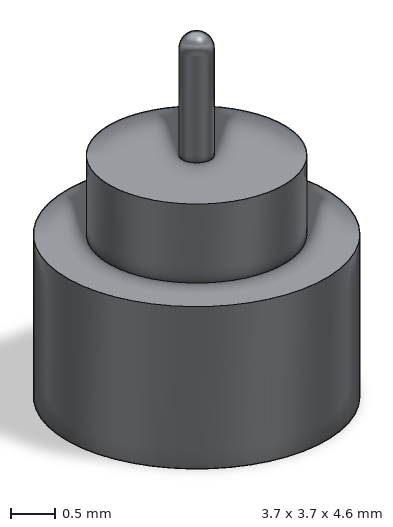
import cadquery as cq

total_height = 4.6
base_diameter = 3.7
base_height = 2.05
neck_diameter = 2.5
neck_height = 1.0
pin_diameter = 0.4

shoulder_z = base_height
neck_top_z = base_height + neck_height
pin_radius = pin_diameter / 2
pin_shaft_height = total_height - neck_top_z - pin_radius
dome_center_z = total_height - pin_radius


def cylinder(diameter, height, bottom_z):
    """Upright cylinder on the Z axis, starting at bottom_z."""
    return cq.Workplane("XY").workplane(offset=bottom_z).circle(diameter / 2).extrude(height)


base = cylinder(base_diameter, base_height, 0)
neck = cylinder(neck_diameter, neck_height, shoulder_z)

pin_shaft = cylinder(pin_diameter, pin_shaft_height, neck_top_z)
pin_tip = cq.Workplane("XY").sphere(pin_radius).translate((0, 0, dome_center_z))

result = base.union(neck).union(pin_shaft).union(pin_tip)